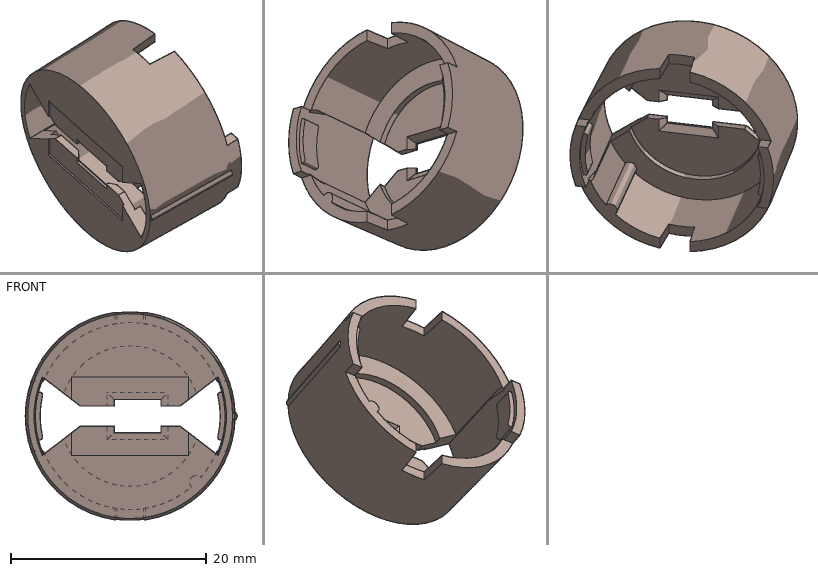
import cadquery as cq
import math

shell_length = 10.48
front_radius = 10.48
rim_radius = 10.74
bore_radius = 9.57
floor_thickness = 1.74

lug_height = 1.43
lug_half_width = 3.58
lug_draft = 0.05
lug_end_radius = rim_radius - lug_draft

hook_half_width = 2.45
hook_inner_radius = 9.2
hook_root_radius = (bore_radius + rim_radius) / 2
hook_length = 2.23
hook_setback = 0.5
hook_end = shell_length + lug_height - hook_setback
hook_corner_radius = 0.3

slot_half_length = 5.12
slot_height = 2.05
slot_half_height = slot_height / 2
opening_half_height = 4.01
opening_radius = 9.85
opening_rim_radius = 9.7
opening_half_length = math.sqrt(opening_radius**2 - opening_half_height**2)
corner_taper = 0.52
corner_taper_start = 6.5

window_left = -1.63
window_right = 3.15
window_height = 3.36
window_lip = 0.48
flare_width = 0.74

front_recess_length = 11.97
front_recess_height = 8.05
front_recess_depth = 0.2
inner_recess_radius = 7.18
inner_floor = 1.0

notch_rim_width = 3.15
notch_root_width = 2.7
notch_depth = 3.08

rib_radius = 0.5
rib_height = 0.22
rib_setback = 0.07
post_radius = 0.7
post_angle = math.radians(-45)


def section(y):
    """Sketch plane across the axis at height y, with local axes X and Z."""
    return cq.Workplane("XZ", origin=(0, y, 0))


def prism(sketch, length):
    """Extrude a section sketch towards +Y."""
    return sketch.extrude(-length)


def frustum(start_radius, end_radius, start, end):
    """Round solid on the axis, from start to end along Y."""
    outline = [(0, start), (start_radius, start), (end_radius, end), (0, end)]
    return cq.Workplane("XY").polyline(outline).close().revolve(360, (0, 0), (0, 1))


def diamond(reach):
    """Corners of a square standing on its corner."""
    return [(reach, 0), (0, reach), (-reach, 0), (0, -reach)]


def make_shell():
    body = frustum(front_radius, rim_radius, 0, shell_length)
    bore = frustum(bore_radius, bore_radius, floor_thickness, shell_length)
    recess = prism(section(inner_floor).circle(inner_recess_radius), floor_thickness - inner_floor)
    return body.cut(bore).cut(recess)


def make_lugs():
    band = frustum(rim_radius, lug_end_radius, shell_length, shell_length + lug_height)
    strip = prism(section(shell_length).rect(2 * rim_radius, 2 * lug_half_width), lug_height)
    centre = prism(section(shell_length).circle(opening_rim_radius), lug_height)
    return band.intersect(strip).cut(centre)


def make_hooks():
    start = hook_end - hook_length
    ring = prism(section(start).circle(hook_root_radius).circle(hook_inner_radius), hook_length)
    strip = prism(section(start).rect(2 * rim_radius, 2 * hook_half_width), hook_length)
    return ring.intersect(strip).edges("|Y").fillet(hook_corner_radius)


def make_opening():
    slope = (opening_half_height - slot_half_height) / (opening_half_length - slot_half_length)
    outer_x = rim_radius
    outer_z = slot_half_height + slope * (outer_x - slot_half_length)
    upper = [
        (-outer_x, outer_z),
        (-slot_half_length, slot_half_height),
        (slot_half_length, slot_half_height),
        (outer_x, outer_z),
    ]
    lower = [(-x, -z) for x, z in upper]
    bow_tie = prism(section(0).polyline(upper + lower).close(), shell_length)
    wall = frustum(opening_radius, opening_rim_radius, 0, shell_length)
    front_reach = opening_half_length + opening_half_height
    straight = prism(section(0).polyline(diamond(front_reach)).close(), corner_taper_start)
    tapered = (
        section(corner_taper_start).polyline(diamond(front_reach)).close()
        .workplane(offset=corner_taper_start - shell_length)
        .polyline(diamond(front_reach - corner_taper)).close()
        .loft(ruled=True)
    )
    corners = straight.union(tapered)
    return bow_tie.intersect(wall).intersect(corners)


def make_window():
    centre = (window_left + window_right) / 2
    width = window_right - window_left
    through = prism(section(0).center(centre, 0).rect(width, window_height), inner_floor)
    flare = (
        section(window_lip).center(centre, 0).rect(width, window_height)
        .workplane(offset=window_lip - inner_floor)
        .rect(width + 2 * flare_width, window_height + 2 * flare_width)
        .loft()
    )
    return through.union(flare)


def make_notches():
    root = shell_length - notch_depth
    outline = [
        (-notch_root_width / 2, root),
        (notch_root_width / 2, root),
        (notch_rim_width / 2, shell_length),
        (-notch_rim_width / 2, shell_length),
    ]
    return cq.Workplane("XY").polyline(outline).close().extrude(rim_radius, both=True)


def make_rib():
    """Round rib that follows the draft of the wall and stands proud of it."""
    inset = rib_radius - rib_height
    rib = (
        section(rib_setback).center(front_radius - inset, 0).circle(rib_radius)
        .workplane(offset=rib_setback - shell_length)
        .center(rim_radius - front_radius, 0).circle(rib_radius)
        .loft()
    )
    return rib.cut(frustum(bore_radius, bore_radius, 0, shell_length))


def make_post():
    x = bore_radius * math.cos(post_angle)
    z = bore_radius * math.sin(post_angle)
    return prism(section(inner_floor).center(x, z).circle(post_radius), shell_length - inner_floor)


front_recess = prism(section(0).rect(front_recess_length, front_recess_height), front_recess_depth)

result = (
    make_shell()
    .union(make_post())
    .union(make_rib())
    .cut(front_recess)
    .cut(make_opening())
    .cut(make_window())
    .cut(make_notches())
    .union(make_lugs())
    .union(make_hooks())
)